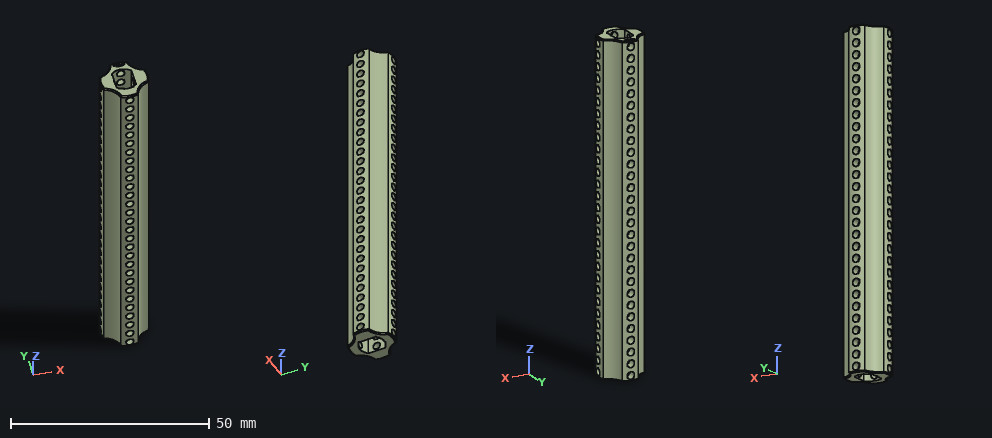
import cadquery as cq
import math

length = 90.6
outer_diameter = 12.5
lobe_width = 4.5
valley_depth_radius = 5.0
end_chamfer = 0.32

bore_diameter = 7.0
bore_width_x = 5.1

web_top = 11.15
web_thickness = 2.5
web_core_diameter = 6.0
web_hole_diameter = 3.0

cross_hole_diameter = 2.0
cross_hole_count = 29
cross_hole_pitch = 3.13

mark_length = 2.9
mark_width = 0.5
mark_outer_y = 5.3
mark_depth = 0.3

outer_radius = outer_diameter / 2
web_bottom = web_top - web_thickness


def star_profile():
    """Four lobes with tips on the outer circle, joined by concave arcs."""
    half_width = lobe_width / 2
    corner = math.sqrt(outer_radius**2 - half_width**2)
    valley = valley_depth_radius * math.sqrt(0.5)
    profile = cq.Workplane("XY").moveTo(corner, -half_width)
    for cos, sin in [(1, 0), (0, 1), (-1, 0), (0, -1)]:
        def turned(x, y):
            return (x * cos - y * sin, x * sin + y * cos)

        profile = profile.threePointArc(turned(outer_radius, 0), turned(corner, half_width))
        profile = profile.threePointArc(turned(valley, valley), turned(half_width, corner))
    return profile.close()


def cylinder(diameter, bottom, height):
    return cq.Workplane("XY").workplane(offset=bottom).circle(diameter / 2).extrude(height)


def bore_column(bottom, height):
    """Round column trimmed by two flats facing X."""
    flats = cq.Workplane("XY").box(bore_width_x, bore_diameter, height, centered=(True, True, False))
    return cylinder(bore_diameter, bottom, height).intersect(flats.translate((0, 0, bottom)))


def cross_hole_row():
    """Row of pins along Y, spaced evenly and centred on the tube length."""
    first_z = (length - (cross_hole_count - 1) * cross_hole_pitch) / 2
    centres = [(0, first_z + i * cross_hole_pitch) for i in range(cross_hole_count)]
    pins = cq.Workplane("XZ").pushPoints(centres).circle(cross_hole_diameter / 2)
    return pins.extrude(outer_radius, both=True)


def end_mark():
    """Segment with its straight side facing outward and its bow toward the axis."""
    return (
        cq.Workplane("XY")
        .workplane(offset=length - mark_depth)
        .moveTo(-mark_length / 2, mark_outer_y)
        .threePointArc((0, mark_outer_y - mark_width), (mark_length / 2, mark_outer_y))
        .close()
        .extrude(mark_depth)
    )


tube = star_profile().extrude(length)
tube = tube.faces("<Z or >Z").edges().chamfer(end_chamfer)

tube = tube.cut(bore_column(0, web_bottom))
tube = tube.cut(bore_column(web_top, length - web_top))
tube = tube.cut(cylinder(web_hole_diameter, web_bottom, web_thickness))

web_core = cylinder(web_core_diameter, web_bottom, web_thickness)
for angle in (0, 90):
    row = cross_hole_row().rotate((0, 0, 0), (0, 0, 1), angle)
    tube = tube.cut(row.cut(web_core))

result = tube.cut(end_mark())